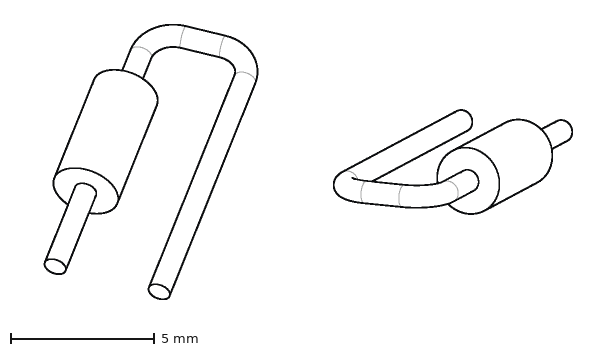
import cadquery as cq

lead_diameter = 0.79
lead_pitch = 3.81
bend_radius = 1.18
overall_length = 11.61

body_diameter = 2.38
body_length = 4.64
body_start = 3.58

crown_y = overall_length - lead_diameter / 2
bend_y = crown_y - bend_radius


def make_lead():
    """Sweep the wire up the body axis, round both bends and back down."""
    path = (
        cq.Workplane("XY")
        .lineTo(0, bend_y)
        .tangentArcPoint((bend_radius, bend_radius))
        .lineTo(lead_pitch - bend_radius, crown_y)
        .tangentArcPoint((bend_radius, -bend_radius))
        .lineTo(lead_pitch, 0)
    )
    return cq.Workplane("XZ").circle(lead_diameter / 2).sweep(path)


def make_body():
    """Plain cylinder along Y, concentric with the first lead."""
    return (
        cq.Workplane("XZ", origin=(0, body_start, 0))
        .circle(body_diameter / 2)
        .extrude(-body_length)
    )


result = make_body().union(make_lead())